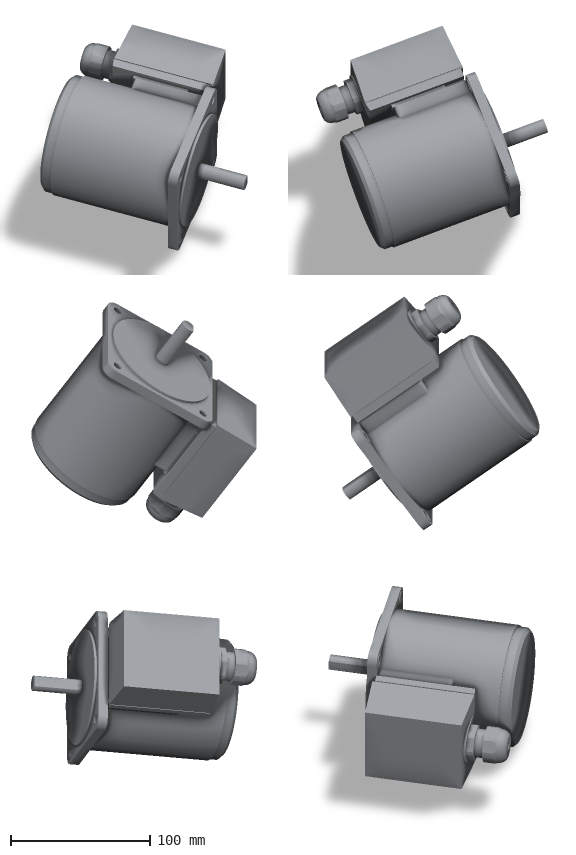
import cadquery as cq
import math


flange_side = 90.0
flange_thickness = 7.0
flange_corner_radius = 7.9
hole_spacing = 73.6
hole_diameter = 6.5
seat_diameter = 11.1
seat_height = 0.5

pilot_diameter = 83.2
pilot_height = 1.9

shaft_diameter = 11.0
shaft_end_x = 37.0
shaft_flat_y = 4.1
shaft_flat_start_x = 6.0
cutter_radius = 6.3

can_diameter = 88.8
can_rear_x = -96.0
end_cap_diameter = 86.7
end_cap_rear_x = -105.0
end_cap_chamfer = 2.5

pad_top_y = 44.5
pad_front_x = -flange_thickness
pad_rear_x = -61.9
pad_half_width = 27.6
pad_corner_radius = 2.0

box_half_width = 31.1

spacer_rear_x = -63.4
spacer_step_x = -22.3
spacer_half_width = 26.7
spacer_step_half_width = 23.7

base_bottom_y = 46.9
base_top_y = 52.9
base_front_x = -7.5
base_bottom_rear_x = -79.5

cover_bottom_y = 53.9
cover_top_y = 88.0
cover_front_x = -5.8
cover_rear_x = -80.7
cover_draft = 2.0
seam_side_recess = 0.9
seam_rear_recess = 0.1

boss_axis_y = 69.8
boss_radius = 15.0
boss_depth = 4.4

gland_axis_y = 69.4
nut_flat_radius = 12.1
nut_rear_x = -86.0
thread_radius = 10.4
cap_front_x = -92.4
cap_flat_radius = 12.4
hex_corner_radius = 13.1
cap_corner_start_x = -100.7
cap_shoulder_x = -102.8
cap_shoulder_radius = 12.3
dome_rear_x = -109.0
dome_face_radius = 8.6
dome_bulge_x = -106.9
dome_bulge_radius = 11.1
dimple_radius = 3.0
dimple_depth = 1.0


def disc(radius, x_start, x_end, y=0.0):
    """Cylinder along X."""
    return cq.Workplane("YZ", origin=(x_start, y, 0)).circle(radius).extrude(x_end - x_start)


def block(x_range, y_range, half_width):
    """Box that is symmetric about the Z = 0 plane."""
    (x_min, x_max), (y_min, y_max) = x_range, y_range
    size = (x_max - x_min, y_max - y_min, 2 * half_width)
    return cq.Workplane("XY").box(*size, centered=False).translate((x_min, y_min, -half_width))


def make_flange():
    """Square mounting plate with a raised seat around each hole on its rear face."""
    plate = (
        cq.Workplane("YZ", origin=(-flange_thickness, 0, 0))
        .rect(flange_side, flange_side)
        .extrude(flange_thickness)
        .edges("|X")
        .fillet(flange_corner_radius)
    )
    seat_plane = cq.Workplane("YZ", origin=(-flange_thickness - seat_height, 0, 0))
    hole_centers = seat_plane.rect(hole_spacing, hole_spacing, forConstruction=True).vertices()
    seats = hole_centers.circle(seat_diameter / 2).extrude(seat_height)
    holes = hole_centers.circle(hole_diameter / 2).extrude(seat_height + flange_thickness)
    return plate.union(seats).cut(holes)


def make_shaft():
    """Output shaft with a flat on +Y that runs out in an arc near the flange."""
    shaft = disc(shaft_diameter / 2, 0, shaft_end_x)
    cutter = (
        cq.Workplane("XY", origin=(shaft_flat_start_x, shaft_flat_y + cutter_radius, -shaft_diameter))
        .circle(cutter_radius)
        .extrude(2 * shaft_diameter)
    )
    flat = block((shaft_flat_start_x, shaft_end_x), (shaft_flat_y, shaft_diameter), shaft_diameter)
    return shaft.cut(cutter).cut(flat)


def make_motor():
    can = disc(can_diameter / 2, can_rear_x, 0)
    end_cap = (
        disc(end_cap_diameter / 2, end_cap_rear_x, can_rear_x)
        .faces("<X")
        .chamfer(end_cap_chamfer)
    )
    pilot = disc(pilot_diameter / 2, 0, pilot_height)
    pad = (
        block((pad_rear_x, pad_front_x), (0, pad_top_y), pad_half_width)
        .edges("|Y")
        .fillet(pad_corner_radius)
    )
    return can.union(end_cap).union(pad).union(make_flange()).union(pilot).union(make_shaft())


def make_enclosure():
    """Spacer, base and drafted cover of the terminal box."""
    spacer_y = (pad_top_y, base_bottom_y)
    spacer = block((spacer_rear_x, spacer_step_x), spacer_y, spacer_half_width).union(
        block((spacer_step_x, base_front_x), spacer_y, spacer_step_half_width)
    )
    base = (
        cq.Workplane("XY", origin=(0, 0, -box_half_width))
        .moveTo(base_bottom_rear_x, base_bottom_y)
        .lineTo(base_front_x, base_bottom_y)
        .lineTo(base_front_x, base_top_y)
        .lineTo(cover_rear_x, base_top_y)
        .close()
        .extrude(2 * box_half_width)
    )
    seam = block(
        (cover_rear_x + seam_rear_recess, cover_front_x),
        (base_top_y, cover_bottom_y),
        box_half_width - seam_side_recess,
    )
    cover_height = cover_top_y - cover_bottom_y
    cover = (
        cq.Workplane("ZX", origin=((cover_front_x + cover_rear_x) / 2, cover_bottom_y, 0))
        .rect(2 * box_half_width, cover_front_x - cover_rear_x)
        .extrude(cover_height, taper=math.degrees(math.atan(cover_draft / cover_height)))
    )
    return spacer.union(base).union(seam).union(cover)


def make_boss():
    """Arched boss that gives the gland an upright face on the drafted wall."""
    boss_end_x = cover_rear_x + boss_depth
    arch = disc(boss_radius, cover_rear_x, boss_end_x, boss_axis_y)
    foot = block((cover_rear_x, boss_end_x), (cover_bottom_y, boss_axis_y), boss_radius)
    return arch.union(foot)


def hexagon(flat_radius, x_start, x_end, y):
    """Hexagonal prism along X with flats on +Z and -Z."""
    corner_distance = 2 * flat_radius / math.cos(math.pi / 6)
    return (
        cq.Workplane("YZ", origin=(x_start, y, 0))
        .polygon(6, corner_distance)
        .extrude(x_end - x_start)
    )


def make_gland():
    nut = hexagon(nut_flat_radius, nut_rear_x, cover_rear_x, boss_axis_y).intersect(
        disc(hex_corner_radius, nut_rear_x, cover_rear_x, boss_axis_y)
    )
    thread = disc(thread_radius, cap_front_x, nut_rear_x, gland_axis_y)
    corner_trim = (
        cq.Workplane("XY")
        .moveTo(cap_shoulder_x, 0)
        .lineTo(cap_shoulder_x, cap_shoulder_radius)
        .lineTo(cap_corner_start_x, hex_corner_radius)
        .lineTo(cap_front_x, hex_corner_radius)
        .lineTo(cap_front_x, 0)
        .close()
        .revolve(360, (0, 0, 0), (1, 0, 0))
        .translate((0, gland_axis_y, 0))
    )
    cap = hexagon(cap_flat_radius, cap_shoulder_x, cap_front_x, gland_axis_y).intersect(corner_trim)
    dome = (
        cq.Workplane("XY")
        .moveTo(dome_rear_x, 0)
        .lineTo(dome_rear_x, dome_face_radius)
        .threePointArc((dome_bulge_x, dome_bulge_radius), (cap_shoulder_x, cap_shoulder_radius))
        .lineTo(cap_shoulder_x, 0)
        .close()
        .revolve(360, (0, 0, 0), (1, 0, 0))
        .translate((0, gland_axis_y, 0))
    )
    dimple = disc(dimple_radius, dome_rear_x, dome_rear_x + dimple_depth, gland_axis_y)
    return nut.union(thread).union(cap).union(dome).cut(dimple)


motor = make_motor()
terminal_box = make_enclosure().union(make_boss()).union(make_gland())

result = cq.Compound.makeCompound([motor.solids().val(), terminal_box.solids().val()])